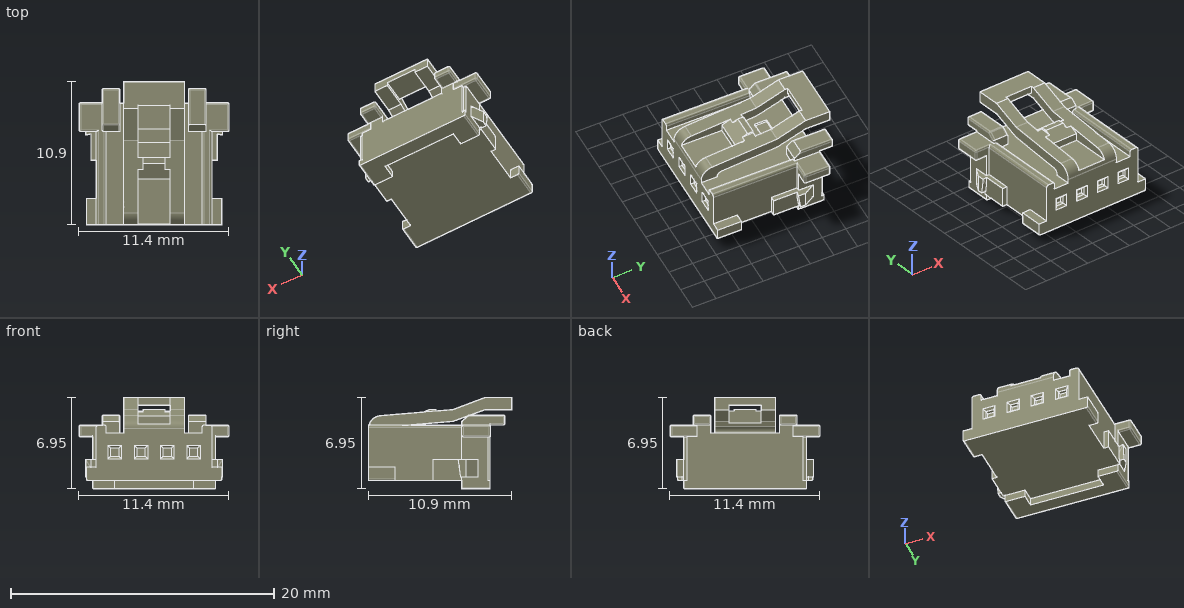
import cadquery as cq

body_half_width = 4.41
body_bottom = 0.63
body_back = 9.26
deck_height = 4.26
rail_top = 4.86
rail_inner_half = 3.65
rail_outer_radius = 0.19
rail_inner_radius = 0.15

rear_half_width = 4.67
rear_front = 7.09
rear_wall_back = 9.07
flange_edge_radius = 0.11
flange_recess_half = 3.01
flange_recess_depth = 1.1

edge_radius = 0.13
ear_half_span = 5.7
ear_bottom = 3.96
ear_back = 9.29
finger_inner = 2.6
finger_outer = 3.96
finger_back = 10.37
finger_top = 5.62
finger_crest = 7.64
finger_nose_top = 5.13
finger_radius = 0.13

foot_half_span = 5.14
foot_length = 2.02
foot_top = 1.66

plate_half_span = 4.81
plate_front = 4.9
plate_top = 2.25
wedge_half_span = 5.2
wedge_bottom = 0.92
wedge_ramp_back = 8.33
wedge_ramp_front = 7.42
wedge_tip_front = 6.82
wedge_heel_front = 7.0

contact_count = 4
contact_pitch = 2.0
contact_height = 2.8
contact_mouth = 1.03
contact_throat = 0.64
contact_funnel_depth = 0.18
contact_depth = 0.48

latch_half_width = 2.33
latch_back = 10.9
latch_top = 6.95
latch_tip_bottom = 6.01
latch_tip_bend = 8.85
latch_mid_bend = 6.43
latch_mid_top = 6.04
latch_mid_bottom = 5.13
latch_slope = 0.084
latch_front_radius = 1.0
latch_root_back = 1.37
latch_root_radius = 0.4

window_half = 1.22
window_front = 5.14
window_back = 9.09
tip_web_bottom = 6.35
pocket_floor = 4.94
pocket_back = 3.5

catch_half_width = 0.83
catch_crest = 4.66
catch_top = 6.05
catch_ramp_foot = 5.54

deck_recess_front = 6.27
deck_recess_back = 7.3
deck_recess_depth = 0.19


def box(x0, x1, y0, y1, z0, z1):
    return cq.Workplane("XY").box(x1 - x0, y1 - y0, z1 - z0, centered=False).translate((x0, y0, z0))


def centred_box(half_width, y0, y1, z0, z1):
    return box(-half_width, half_width, y0, y1, z0, z1)


def side_profile(half_width):
    """YZ sketch plane at -half_width, ready to extrude across the part."""
    return cq.Workplane("YZ", origin=(-half_width, 0, 0))


def mirrored(left_part):
    return left_part.union(left_part.mirror("YZ"))


def polyhedron(corner_loops):
    faces = [
        cq.Face.makeFromWires(cq.Wire.makePolygon([cq.Vector(*p) for p in loop], close=True))
        for loop in corner_loops
    ]
    return cq.Workplane(obj=cq.Solid.makeSolid(cq.Shell.makeShell(faces)))


def make_body():
    return centred_box(body_half_width, 0, body_back, body_bottom, deck_height)


def make_rail():
    rail = box(-body_half_width, -rail_inner_half, 0, rear_front + edge_radius, deck_height, rail_top)
    rail = rail.edges("|Y and >Z and <X").fillet(rail_outer_radius)
    return rail.edges("|Y and >Z and >X").fillet(rail_inner_radius)


def make_rear_section():
    wall = centred_box(rear_half_width, rear_front, rear_wall_back, body_bottom, deck_height)
    flange = centred_box(rear_half_width, rear_front, body_back, 0, body_bottom)
    flange = flange.edges("|Y and <Z").fillet(flange_edge_radius)
    recess = centred_box(flange_recess_half, rear_front, rear_front + flange_recess_depth, 0, body_bottom)
    return wall.union(flange.cut(recess))


def make_ear():
    ear = box(-ear_half_span, -rail_inner_half, rear_front, ear_back, ear_bottom, rail_top)
    return ear.edges("<X or |X").fillet(edge_radius)


def make_finger(rounded_nose):
    """Left finger with its top, rear end and overhang rounded, and optionally its sloping nose."""
    profile = [
        (rear_front, deck_height),
        (rear_front, finger_nose_top),
        (finger_crest, finger_top),
        (finger_back, finger_top),
        (finger_back, rail_top),
        (body_back, rail_top),
        (body_back, deck_height),
    ]
    width = finger_outer - finger_inner
    finger = side_profile(finger_outer).polyline(profile).close().extrude(width)
    overhang_y = (body_back + finger_back) / 2
    slope_y = (rear_front + finger_crest) / 2
    slope_z = (finger_nose_top + finger_top) / 2
    points = [(-finger_outer, overhang_y, rail_top), (-finger_inner, overhang_y, rail_top)]
    if rounded_nose:
        points += [
            (-finger_outer, slope_y, slope_z),
            (-finger_inner, slope_y, slope_z),
            (-finger_outer, rear_front, (deck_height + finger_nose_top) / 2),
            (-(finger_outer + finger_inner) / 2, finger_crest, finger_top),
        ]
    rounded = finger.edges(">Y or (|Y and >Z)")
    for point in points:
        rounded = rounded.add(finger.edges(cq.selectors.NearestToPointSelector(point)))
    return rounded.fillet(finger_radius)


def make_foot():
    foot = box(-foot_half_span, -body_half_width, 0, foot_length, body_bottom, foot_top)
    return foot.edges("|Y and <X and <Z").fillet(edge_radius)


def make_side_plate():
    return box(-plate_half_span, -body_half_width, plate_front, rear_front, body_bottom, plate_top)


def make_wedge():
    outline = [
        (-body_half_width, wedge_heel_front),
        (-wedge_half_span, wedge_tip_front),
        (-wedge_half_span, wedge_ramp_front),
        (-rear_half_width, wedge_ramp_back),
        (-body_half_width, wedge_ramp_back),
    ]
    height = plate_top - wedge_bottom
    wedge = cq.Workplane("XY", origin=(0, 0, wedge_bottom)).polyline(outline).close().extrude(height)
    outer_top = (-wedge_half_span, wedge_tip_front, plate_top)
    outer_bottom = (-wedge_half_span, wedge_heel_front, wedge_bottom)
    outer_bottom_front = (-wedge_half_span, wedge_tip_front, wedge_bottom)
    inner_bottom = (-body_half_width, wedge_heel_front, wedge_bottom)
    undercut = polyhedron([
        [outer_top, outer_bottom, inner_bottom],
        [outer_top, outer_bottom_front, inner_bottom],
        [outer_top, outer_bottom, outer_bottom_front],
        [outer_bottom, outer_bottom_front, inner_bottom],
    ])
    return wedge.cut(undercut)


def make_contact_opening(x):
    mouth = cq.Workplane("XZ", origin=(x, 0, contact_height))
    funnel = (
        mouth.rect(contact_mouth, contact_mouth)
        .workplane(offset=-contact_funnel_depth)
        .rect(contact_throat, contact_throat)
        .loft(ruled=True)
    )
    socket = mouth.rect(contact_throat, contact_throat).extrude(-contact_depth)
    return funnel.union(socket)


def make_latch():
    front_top = latch_mid_top - latch_slope * latch_mid_bend
    root_top = latch_mid_bottom - latch_slope * (latch_mid_bend - latch_root_back)
    profile = [
        (0, deck_height),
        (0, front_top),
        (latch_mid_bend, latch_mid_top),
        (latch_tip_bend, latch_top),
        (latch_back, latch_top),
        (latch_back, latch_tip_bottom),
        (latch_tip_bend, latch_tip_bottom),
        (latch_mid_bend, latch_mid_bottom),
        (latch_root_back, root_top),
        (latch_root_back, deck_height),
    ]
    arm = side_profile(latch_half_width).polyline(profile).close().extrude(2 * latch_half_width)
    arm = arm.edges(cq.selectors.NearestToPointSelector((0, 0, front_top))).fillet(latch_front_radius)
    arm = arm.edges(cq.selectors.NearestToPointSelector((0, latch_root_back, root_top))).fillet(
        latch_root_radius
    )

    arm = arm.cut(centred_box(window_half, window_front, window_back, deck_height, latch_top))
    arm = arm.cut(centred_box(window_half, window_back, latch_back, latch_tip_bottom, tip_web_bottom))
    arm = arm.cut(centred_box(window_half, 0, pocket_back, pocket_floor, latch_top))

    above_ramp = [(pocket_back, catch_ramp_foot), (catch_crest, catch_top), (pocket_back, catch_top)]
    arm = arm.cut(side_profile(window_half).polyline(above_ramp).close().extrude(2 * window_half))
    catch = [
        (pocket_back, catch_ramp_foot),
        (catch_crest, catch_top),
        (window_front, catch_top),
        (window_front, catch_ramp_foot),
    ]
    return arm.union(side_profile(catch_half_width).polyline(catch).close().extrude(2 * catch_half_width))


result = make_body().union(make_rear_section())
for make_left_feature in (make_rail, make_ear, make_foot, make_side_plate, make_wedge):
    result = result.union(mirrored(make_left_feature()))
result = result.union(make_finger(rounded_nose=True))
result = result.union(make_finger(rounded_nose=False).mirror("YZ"))

result = result.cut(
    centred_box(
        window_half, deck_recess_front, deck_recess_back, deck_height - deck_recess_depth, deck_height
    )
)
result = result.union(make_latch())

for index in range(contact_count):
    contact_x = (index - (contact_count - 1) / 2) * contact_pitch
    result = result.cut(make_contact_opening(contact_x))

result = result.clean()